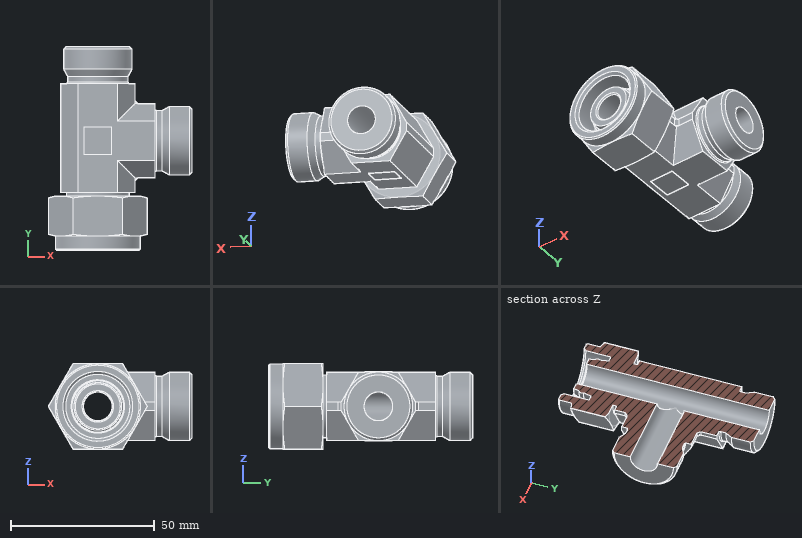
import cadquery as cq
import math


body_flats = 24.0
body_half_width = 13.0
shoulder = 20.0
body_nut_end = -18.1
hex_corner_slope = math.sqrt(3)
body_half_height = body_flats / 2
flat_half_width = body_half_height / hex_corner_slope
side_flat_half_height = 2 * body_half_height - hex_corner_slope * body_half_width
corner_web = 1.05
pad_size = 9.5
pad_height = 0.15

male_end = 33.0
thread_radius = 12.0
thread_length = 8.0
thread_chamfer = 1.0
neck_radius = 10.6
neck_cone_length = 2.55
neck_foot_radius = 10.85
neck_foot_length = 0.55

nut_flats = 30.0
nut_hex_length = 14.0
nut_face = -38.35
nut_collar_length = 5.0
nut_collar_radius = 14.9
nut_collar_chamfer = 0.5
nut_corner_angle = 15.0
nut_mouth_radius = 12.2
nut_bore_radius = 11.2
nut_bore_depth = 10.2
nut_hex_front = nut_face + nut_collar_length
nut_hex_back = nut_hex_front + nut_hex_length

spigot_radius = 11.0
cone_face = nut_face + 3.25
cone_face_radius = 7.85
cone_half_angle = 12.0
seal_start = 2.2
seal_width = 1.8
seal_peak_radius = 9.0

bore_radius = 5.0
bore_chamfer = 0.5


def revolve_about_y(profile):
    """Turn an outline of (radius, y) points about the Y axis."""
    outline = cq.Workplane("XY").polyline(profile).close()
    return outline.revolve(360, (0, 0, 0), (0, 1, 0))


def turn_to_branch(shape):
    """Swing a shape lying along +Y round to +X."""
    return shape.rotate((0, 0, 0), (0, 0, 1), -90)


def hexagonal_bar(y_start, y_end):
    """Bar along Y: a hexagon whose two side edges are cut flat."""
    section = [
        (flat_half_width, body_half_height),
        (body_half_width, side_flat_half_height),
        (body_half_width, -side_flat_half_height),
        (flat_half_width, -body_half_height),
        (-flat_half_width, -body_half_height),
        (-body_half_width, -side_flat_half_height),
        (-body_half_width, side_flat_half_height),
        (-flat_half_width, body_half_height),
    ]
    bar = cq.Workplane("XZ", origin=(0, y_start, 0)).polyline(section).close()
    return bar.extrude(y_start - y_end)


def branch_bar():
    """Bar along +X that starts in a point, so it mitres into the run."""
    bar = turn_to_branch(hexagonal_bar(0, shoulder))
    wedge = (
        cq.Workplane("XY")
        .polyline([(0, 0), (shoulder, shoulder), (shoulder, -shoulder)])
        .close()
        .extrude(body_half_height, both=True)
    )
    return bar.intersect(wedge)


def corner_webs():
    """Small triangular webs where the side flats of run and branch meet."""
    webs = cq.Workplane("XY")
    for side in (1, -1):
        corner_y = side * body_half_width
        outline = [
            (body_half_width, corner_y),
            (body_half_width + corner_web, corner_y),
            (body_half_width, corner_y + side * corner_web),
        ]
        web = cq.Workplane("XY").polyline(outline).close()
        webs = webs.add(web.extrude(side_flat_half_height, both=True))
    return webs.combine()


def male_connector():
    """Threaded end with its relief neck, along +Y."""
    cone_start = male_end - thread_length
    neck_start = cone_start - neck_cone_length
    return revolve_about_y([
        (0, 0),
        (neck_foot_radius, 0),
        (neck_foot_radius, shoulder),
        (neck_radius, shoulder + neck_foot_length),
        (neck_radius, neck_start),
        (thread_radius, cone_start),
        (thread_radius, male_end - thread_chamfer),
        (thread_radius - thread_chamfer, male_end),
        (0, male_end),
    ])


def swivel_nut():
    """Hexagon nut with a round collar and a bevelled mouth."""
    corner_radius = nut_flats / math.sqrt(3)
    bevel_start = nut_flats / 2
    bevel_length = (corner_radius - bevel_start) * math.tan(math.radians(nut_corner_angle))
    hexagon = (
        cq.Workplane("XZ", origin=(0, nut_hex_front, 0))
        .polygon(6, 2 * corner_radius)
        .extrude(-nut_hex_length)
    )
    bevelled_envelope = revolve_about_y([
        (0, nut_hex_front),
        (bevel_start, nut_hex_front),
        (corner_radius, nut_hex_front + bevel_length),
        (corner_radius, nut_hex_back - bevel_length),
        (bevel_start, nut_hex_back),
        (0, nut_hex_back),
    ])
    collar = revolve_about_y([
        (0, nut_face),
        (nut_collar_radius - nut_collar_chamfer, nut_face),
        (nut_collar_radius, nut_face + nut_collar_chamfer),
        (nut_collar_radius, nut_hex_front),
        (0, nut_hex_front),
    ])
    mouth_bevel = nut_mouth_radius - nut_bore_radius
    cavity = revolve_about_y([
        (0, nut_face),
        (nut_mouth_radius, nut_face),
        (nut_bore_radius, nut_face + mouth_bevel),
        (nut_bore_radius, nut_face + nut_bore_depth),
        (0, nut_face + nut_bore_depth),
    ])
    return hexagon.intersect(bevelled_envelope).union(collar).cut(cavity)


def sealing_cone():
    """Cone with its rounded seal ring, and the shank that joins it to the body."""
    cone_slope = math.tan(math.radians(cone_half_angle))
    nut_floor = nut_face + nut_bore_depth
    cone_root_radius = cone_face_radius + (nut_floor - cone_face) * cone_slope
    cone = revolve_about_y([
        (0, cone_face),
        (cone_face_radius, cone_face),
        (cone_root_radius, nut_floor),
        (0, nut_floor),
    ])
    shank = revolve_about_y([
        (0, nut_floor),
        (spigot_radius, nut_floor),
        (spigot_radius, body_nut_end),
        (0, body_nut_end),
    ])
    seal_end = seal_start + seal_width
    seal_middle = seal_start + seal_width / 2
    seal = (
        cq.Workplane("XY")
        .moveTo(0, cone_face + seal_start)
        .lineTo(cone_face_radius + seal_start * cone_slope, cone_face + seal_start)
        .threePointArc(
            (seal_peak_radius, cone_face + seal_middle),
            (cone_face_radius + seal_end * cone_slope, cone_face + seal_end),
        )
        .lineTo(0, cone_face + seal_end)
        .close()
        .revolve(360, (0, 0, 0), (0, 1, 0))
    )
    return cone.union(seal).union(shank)


def marking_pads():
    """Thin square pads on the top and bottom of the body."""
    return cq.Workplane("XY").box(pad_size, pad_size, 2 * (body_half_height + pad_height))


def run_bore():
    """Through bore along Y, chamfered at the sealing cone."""
    return revolve_about_y([
        (0, cone_face),
        (bore_radius + bore_chamfer, cone_face),
        (bore_radius, cone_face + bore_chamfer),
        (bore_radius, male_end),
        (0, male_end),
    ])


def branch_bore():
    """Bore from the centre out through the branch."""
    return cq.Workplane("YZ").circle(bore_radius).extrude(male_end)


result = hexagonal_bar(body_nut_end, shoulder)
result = result.union(branch_bar()).union(corner_webs()).union(marking_pads())
result = result.union(male_connector()).union(turn_to_branch(male_connector()))
result = result.union(swivel_nut()).union(sealing_cone())
result = result.cut(run_bore()).cut(branch_bore())